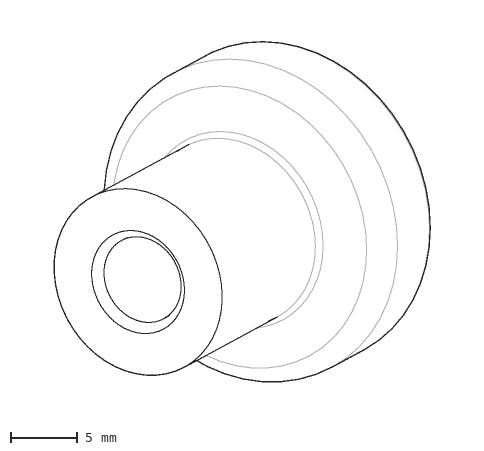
import cadquery as cq
import math

head_radius = 12.5
stem_radius = 7.25
total_length = 22.5
back_round = 0.5
front_round = 2.0
neck_round = 0.5
front_round_start = 5.3
shoulder_angle = math.radians(13.0)

bore_radius = 3.32
bore_mouth_radius = 4.0
bore_depth = 14.0
bore_tip_angle = math.radians(118.0)


def point_on_round(center, radius, angle):
    """Point at the given angle from the radial direction towards the stem end."""
    return (
        center[0] + radius * math.cos(angle),
        center[1] - radius * math.sin(angle),
    )


def make_body():
    """Head, conical shoulder and stem, revolved about Y."""
    shoulder_normal = math.pi / 2 - shoulder_angle

    back_center = (head_radius - back_round, -back_round)
    back_middle = point_on_round(back_center, back_round, -math.pi / 4)

    front_center = (head_radius - front_round, -front_round_start)
    front_middle = point_on_round(front_center, front_round, shoulder_normal / 2)
    shoulder_outer = point_on_round(front_center, front_round, shoulder_normal)

    neck_center_radius = stem_radius + neck_round
    shoulder_inner_radius = neck_center_radius - neck_round * math.sin(shoulder_angle)
    shoulder_rise = (shoulder_outer[0] - shoulder_inner_radius) * math.tan(shoulder_angle)
    shoulder_inner = (shoulder_inner_radius, shoulder_outer[1] - shoulder_rise)
    neck_center = (neck_center_radius, shoulder_inner[1] - neck_round * math.cos(shoulder_angle))
    neck_middle = point_on_round(neck_center, neck_round, math.pi + shoulder_normal / 2)

    return (
        cq.Workplane("XY")
        .moveTo(0, 0)
        .lineTo(head_radius - back_round, 0)
        .threePointArc(back_middle, (head_radius, -back_round))
        .lineTo(head_radius, -front_round_start)
        .threePointArc(front_middle, shoulder_outer)
        .lineTo(*shoulder_inner)
        .threePointArc(neck_middle, (stem_radius, neck_center[1]))
        .lineTo(stem_radius, -total_length)
        .lineTo(0, -total_length)
        .close()
        .revolve(360, (0, 0), (0, 1))
    )


def make_bore():
    """Drilled hole with a 45 degree mouth chamfer and a conical bottom."""
    mouth_chamfer = bore_mouth_radius - bore_radius
    bore_end = -total_length + bore_depth
    tip_length = bore_radius / math.tan(bore_tip_angle / 2)
    return (
        cq.Workplane("XY")
        .moveTo(0, -total_length)
        .lineTo(bore_mouth_radius, -total_length)
        .lineTo(bore_radius, -total_length + mouth_chamfer)
        .lineTo(bore_radius, bore_end)
        .lineTo(0, bore_end + tip_length)
        .close()
        .revolve(360, (0, 0), (0, 1))
    )


result = make_body().cut(make_bore())